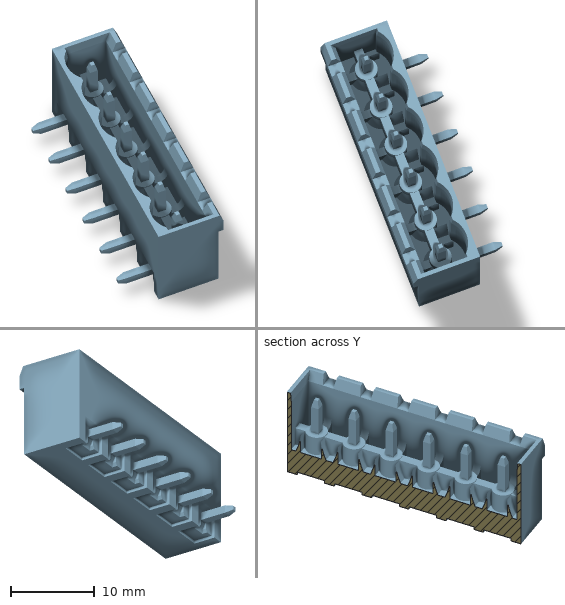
import cadquery as cq

length = 31.4
height = 12.0
depth = 7.82
lip_back = 8.5
pin_count = 6
first_pin_x = 3.2
pitch = (length - 2 * first_pin_x) / (pin_count - 1)
pin_y = 3.85
pin_xs = [first_pin_x + i * pitch for i in range(pin_count)]

lip_bottom_z = 9.0
lead_in_depth = 1.3
lead_in_z = height - lead_in_depth
lip_top_back = 7.98
notch_floor_width = 1.38
notch_top_width = 1.8

floor_z = 3.55
cavity_side = 0.6
cavity_front = 1.65
cavity_back = 6.8
side_lead_in = 0.1
front_lead_in = 0.22
back_lead_in = 0.55
scallop_radius = 3.15
scallop_top_radius = 3.3

rib_height = 2.45
boss_height = 2.57
boss_radius = 1.35
cone_radius = 2.05
cone_height = 1.48
ridge_base = 2.05
ridge_flank_radius = 10.05
rib_front = 3.35
rib_back = 4.45
buttress_width = 1.0
buttress_front = 5.8

pin_width = 1.0
tip_width = 0.5
tip_length = 1.0
pin_reach = 4.0
pin_z = 1.98
pin_top_z = 10.9

window_width = 3.6
window_height = 3.5
window_back_height = 2.83
window_depth = 0.45
relief_height = 0.38
relief_depth = 2.83
slot_width = 1.13
slot_flare_width = 1.7
slot_flare_z = 0.8
slot_top_z = pin_z - pin_width / 4
slot_bottom_depth = 1.1


def box(x0, x1, y0, y1, z0, z1):
    """Box between two opposite corners."""
    return cq.Workplane("XY").box(x1 - x0, y1 - y0, z1 - z0, centered=False).translate((x0, y0, z0))


def extrude_along_x(points, x0, x1):
    """Prism with a (y, z) outline between two x positions."""
    return cq.Workplane("YZ").polyline(points).close().extrude(x1 - x0).translate((x0, 0, 0))


def extrude_along_y(points, y0, y1):
    """Prism with an (x, z) outline between two y positions."""
    return cq.Workplane("XZ").polyline(points).close().extrude(y0 - y1).translate((0, y0, 0))


def cone(x, base_radius, top_radius, z0, z1):
    """Upright truncated cone on a pin axis."""
    return cq.Workplane(cq.Solid.makeCone(base_radius, top_radius, z1 - z0, pnt=cq.Vector(x, pin_y, z0)))


def cylinder(x, radius, z0, z1):
    """Upright cylinder on a pin axis."""
    return cq.Workplane("XY", origin=(x, pin_y, z0)).circle(radius).extrude(z1 - z0)


def housing():
    """Outer block with the overhanging rear lip."""
    outline = [
        (0, 0),
        (depth, 0),
        (depth, lip_bottom_z),
        (lip_back, lip_bottom_z),
        (lip_back, lead_in_z),
        (lip_top_back, height),
        (0, height),
    ]
    return extrude_along_x(outline, 0, length)


def cavity():
    """Open plug cavity, widened at its mouth, with a round scallop at each pin."""
    x0, x1 = cavity_side, length - cavity_side
    shape = box(x0, x1, cavity_front, cavity_back, floor_z, lead_in_z)
    mouth_front = cavity_front - front_lead_in
    mouth_back = cavity_back + back_lead_in
    mouth = (
        cq.Workplane("XY", origin=(length / 2, (cavity_front + cavity_back) / 2, lead_in_z))
        .rect(x1 - x0, cavity_back - cavity_front)
        .workplane(offset=lead_in_depth)
        .center(0, (mouth_front + mouth_back - cavity_front - cavity_back) / 2)
        .rect(x1 - x0 + 2 * side_lead_in, mouth_back - mouth_front)
        .loft(ruled=True)
    )
    shape = shape.union(mouth)
    front_wall = box(0, length, 0, cavity_front, 0, height)
    for x in pin_xs:
        scallop = cylinder(x, scallop_radius, floor_z, lead_in_z)
        scallop = scallop.union(cone(x, scallop_radius, scallop_top_radius, lead_in_z, height))
        shape = shape.union(scallop.intersect(front_wall))
    return shape


def lip_notch(x):
    """Coding notch through the rear lip."""
    half_floor = notch_floor_width / 2
    half_top = notch_top_width / 2
    outline = [
        (x - half_floor, lead_in_z),
        (x + half_floor, lead_in_z),
        (x + half_top, height),
        (x - half_top, height),
    ]
    return extrude_along_y(outline, cavity_back, lip_back)


def pin_support(x):
    """Boss around a pin with a cone behind, two ridges in front and a buttress to the rear wall."""
    cone_top = floor_z + cone_height
    rear_half = box(0, length, pin_y, cavity_back, 0, height)
    shape = cone(x, cone_radius, boss_radius, floor_z, cone_top).intersect(rear_half)
    shape = shape.union(cylinder(x, boss_radius, floor_z, floor_z + boss_height))
    ridge = (
        cq.Workplane("XZ")
        .moveTo(boss_radius, floor_z)
        .lineTo(ridge_base, floor_z)
        .radiusArc((boss_radius, floor_z + rib_height), ridge_flank_radius)
        .close()
        .extrude(cavity_front - pin_y)
        .translate((0, cavity_front, 0))
    )
    ridges = ridge.union(ridge.mirror("YZ"))
    shape = shape.union(ridges.translate((x, 0, 0)))
    radius = cavity_back - buttress_front
    buttress = (
        cq.Workplane("YZ")
        .moveTo(pin_y, floor_z)
        .lineTo(cavity_back, floor_z)
        .lineTo(cavity_back, cone_top + radius)
        .radiusArc((buttress_front, cone_top), radius)
        .lineTo(pin_y, cone_top)
        .close()
        .extrude(buttress_width / 2, both=True)
        .translate((x, 0, 0))
    )
    return shape.union(buttress)


def floor_rib():
    """Cross rib along the pin row."""
    return box(cavity_side, length - cavity_side, rib_front, rib_back, floor_z, floor_z + rib_height)


def pin_pocket(x):
    """Front window open to the underside, with a sloping slot below the pin."""
    half = window_width / 2
    window = [
        (0, 0),
        (window_depth, 0),
        (window_depth, window_back_height),
        (0, window_height),
    ]
    pocket = extrude_along_x(window, x - half, x + half)
    pocket = pocket.union(box(x - half, x + half, 0, relief_depth, 0, relief_height))
    half_slot = slot_width / 2
    half_flare = slot_flare_width / 2
    slot = extrude_along_y(
        [
            (x - half_flare, relief_height),
            (x + half_flare, relief_height),
            (x + half_slot, slot_flare_z),
            (x + half_slot, slot_top_z),
            (x - half_slot, slot_top_z),
            (x - half_slot, slot_flare_z),
        ],
        window_depth,
        slot_bottom_depth,
    )
    slope = extrude_along_x(
        [
            (window_depth, relief_height),
            (slot_bottom_depth, relief_height),
            (window_depth, slot_top_z),
        ],
        x - half,
        x + half,
    )
    return pocket.union(slot.intersect(slope))


def square_tip(plane, origin):
    """Tapered square pin end growing along the plane normal."""
    return (
        cq.Workplane(plane, origin=origin)
        .rect(pin_width, pin_width)
        .workplane(offset=tip_length)
        .rect(tip_width, tip_width)
        .loft(ruled=True)
    )


def contact_pin(x):
    """Right-angle contact: upright mating pin and horizontal solder pin."""
    half = pin_width / 2
    upright_top = pin_top_z - tip_length
    front_end = tip_length - pin_reach
    upright = box(x - half, x + half, pin_y - half, pin_y + half, pin_z - half, upright_top)
    solder = box(x - half, x + half, front_end, pin_y, pin_z - half, pin_z + half)
    pin = upright.union(solder)
    pin = pin.union(square_tip("XY", (x, pin_y, upright_top)))
    return pin.union(square_tip("XZ", (x, front_end, pin_z)))


body = housing().cut(cavity()).union(floor_rib())
for pin_x in pin_xs:
    body = body.cut(lip_notch(pin_x))
    body = body.union(pin_support(pin_x))
    body = body.cut(pin_pocket(pin_x))
    body = body.union(contact_pin(pin_x))

result = body